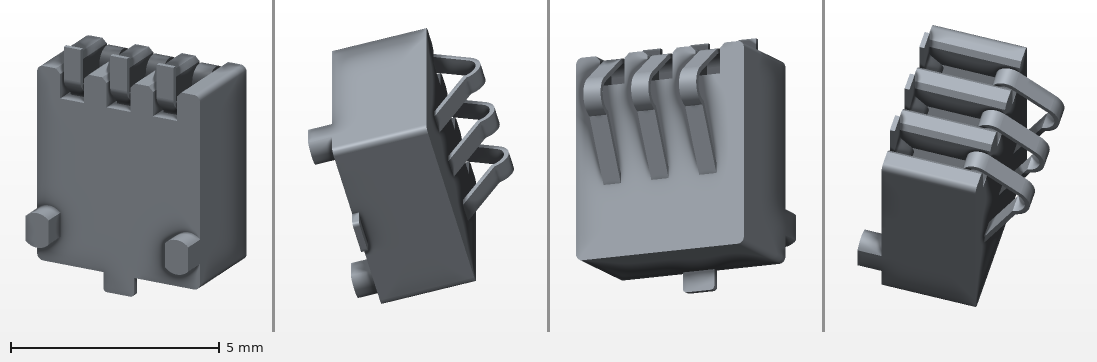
import cadquery as cq
import math

total_height = 6.1
housing_width = 4.45
housing_depth = 2.355
housing_height = 5.0
corner_radius = 0.165

tab_height = 0.5
tab_width = 0.835
tab_thickness = 0.165
tab_corner_radius = 0.1

housing_bottom = tab_height
housing_top = housing_bottom + housing_height

contact_count = 3
contact_pitch = 1.27
slot_width = 0.65
slot_depth = 0.75
slot_chamfer = 0.12
slot_floor = housing_top - slot_depth

peg_diameter = 0.89
peg_width = 0.635
peg_length = 0.6
peg_height = housing_bottom + 1.0

strip_width = 0.46
strip_thickness = 0.12
strip_embed = 0.06

spring_reach = 1.145
bow_outer_radius = 0.51
bow_inner_radius = bow_outer_radius - strip_thickness
bow_height = 4.31
arm_slope = 34.0
leg_slope = 27.5
bow_outer_end = 18.0
bow_inner_end = 12.0
curl_start = 0.02
curl_outer_radius = 0.37
curl_inner_radius = curl_outer_radius - strip_thickness

tail_jog = 0.355
tail_bend_top = 5.265
tail_bend_angle = 45.0
tail_inner_radius = 0.145
tail_outer_radius = tail_inner_radius + strip_thickness


def polar(centre, radius, angle):
    """Point at an angle in degrees, measured from +Y towards +Z."""
    turn = math.radians(angle)
    return (centre[0] + radius * math.cos(turn), centre[1] + radius * math.sin(turn))


def make_housing():
    housing = (
        cq.Workplane("XY")
        .box(housing_width, housing_depth, housing_height, centered=(True, False, False))
        .translate((0, 0, housing_bottom))
        .edges("|Y")
        .fillet(corner_radius)
    )
    return housing


def make_slot(x):
    half_slot = slot_width / 2
    half_mouth = half_slot + slot_chamfer
    chamfer_bottom = housing_top - slot_chamfer
    return (
        cq.Workplane("XZ", origin=(x, 0, 0))
        .moveTo(-half_slot, slot_floor)
        .lineTo(half_slot, slot_floor)
        .lineTo(half_slot, chamfer_bottom)
        .lineTo(half_mouth, housing_top)
        .lineTo(-half_mouth, housing_top)
        .lineTo(-half_slot, chamfer_bottom)
        .close()
        .extrude(-housing_depth)
    )


def make_tab():
    return (
        cq.Workplane("XY")
        .box(tab_width, tab_thickness, tab_height + tab_corner_radius, centered=(True, False, False))
        .edges("|Y and <Z")
        .fillet(tab_corner_radius)
    )


def make_peg(x):
    cylinder = cq.Workplane("XZ", origin=(x, 0, peg_height)).circle(peg_diameter / 2).extrude(peg_length)
    flats = cq.Workplane("XZ", origin=(x, 0, peg_height)).rect(peg_width, peg_diameter).extrude(peg_length)
    return cylinder.intersect(flats)


def extrude_strip(outline, x):
    return outline.close().extrude(strip_width / 2, both=True).translate((x, 0, 0))


def make_spring(x):
    arm_normal = 90.0 - arm_slope
    bow = (housing_depth + spring_reach - bow_outer_radius, bow_height)
    outer_tangent = polar(bow, bow_outer_radius, arm_normal)

    arm_end = housing_depth + curl_start
    arm_run = outer_tangent[0] - arm_end
    arm_top = (arm_end, outer_tangent[1] + arm_run * math.tan(math.radians(arm_slope)))
    curl = polar(arm_top, -curl_outer_radius, arm_normal)
    curl_middle = (arm_normal + 180.0) / 2

    outer_leg_start = polar(bow, bow_outer_radius, bow_outer_end - 90.0)
    inner_leg_start = polar(bow, bow_inner_radius, bow_inner_end - 90.0)
    leg_end = housing_depth - strip_embed

    def leg_foot(start):
        drop = (start[0] - leg_end) / math.tan(math.radians(leg_slope))
        return (leg_end, start[1] - drop)

    strip_bottom = slot_floor - strip_embed
    outline = (
        cq.Workplane("YZ")
        .moveTo(curl[0] - curl_outer_radius, strip_bottom)
        .lineTo(*polar(curl, curl_outer_radius, 180.0))
        .threePointArc(polar(curl, curl_outer_radius, curl_middle), arm_top)
        .lineTo(*outer_tangent)
        .threePointArc(polar(bow, bow_outer_radius, 0), outer_leg_start)
        .lineTo(*leg_foot(outer_leg_start))
        .lineTo(*leg_foot(inner_leg_start))
        .lineTo(*inner_leg_start)
        .threePointArc(polar(bow, bow_inner_radius, 0), polar(bow, bow_inner_radius, arm_normal))
        .lineTo(*polar(curl, curl_inner_radius, arm_normal))
        .threePointArc(
            polar(curl, curl_inner_radius, curl_middle),
            polar(curl, curl_inner_radius, 180.0),
        )
        .lineTo(curl[0] - curl_inner_radius, strip_bottom)
    )
    return extrude_strip(outline, x)


def make_tail(x):
    bend = tail_bend_angle
    bend_turn = math.radians(bend)
    bend_shift = (tail_inner_radius + tail_outer_radius) * (1 - math.cos(bend_turn))
    bend_drop = (tail_inner_radius + tail_outer_radius) * math.sin(bend_turn)
    slope_drop = (tail_jog - bend_shift) / math.tan(bend_turn)

    upper = (tail_outer_radius, tail_bend_top)
    lower = (tail_jog - tail_inner_radius, tail_bend_top - bend_drop - slope_drop)
    strip_bottom = slot_floor - strip_embed

    outline = (
        cq.Workplane("YZ")
        .moveTo(0, total_height)
        .lineTo(*polar(upper, tail_outer_radius, 180.0))
        .threePointArc(
            polar(upper, tail_outer_radius, 180.0 + bend / 2),
            polar(upper, tail_outer_radius, 180.0 + bend),
        )
        .lineTo(*polar(lower, tail_inner_radius, bend))
        .threePointArc(polar(lower, tail_inner_radius, bend / 2), polar(lower, tail_inner_radius, 0))
        .lineTo(tail_jog, strip_bottom)
        .lineTo(tail_jog + strip_thickness, strip_bottom)
        .lineTo(*polar(lower, tail_outer_radius, 0))
        .threePointArc(polar(lower, tail_outer_radius, bend / 2), polar(lower, tail_outer_radius, bend))
        .lineTo(*polar(upper, tail_inner_radius, 180.0 + bend))
        .threePointArc(
            polar(upper, tail_inner_radius, 180.0 + bend / 2),
            polar(upper, tail_inner_radius, 180.0),
        )
        .lineTo(strip_thickness, total_height)
    )
    return extrude_strip(outline, x)


contact_positions = [(i - (contact_count - 1) / 2) * contact_pitch for i in range(contact_count)]
peg_offset = (housing_width - peg_width) / 2

result = make_housing().union(make_tab())
for peg_x in (-peg_offset, peg_offset):
    result = result.union(make_peg(peg_x))
for contact_x in contact_positions:
    result = result.cut(make_slot(contact_x))
for contact_x in contact_positions:
    result = result.union(make_spring(contact_x)).union(make_tail(contact_x))